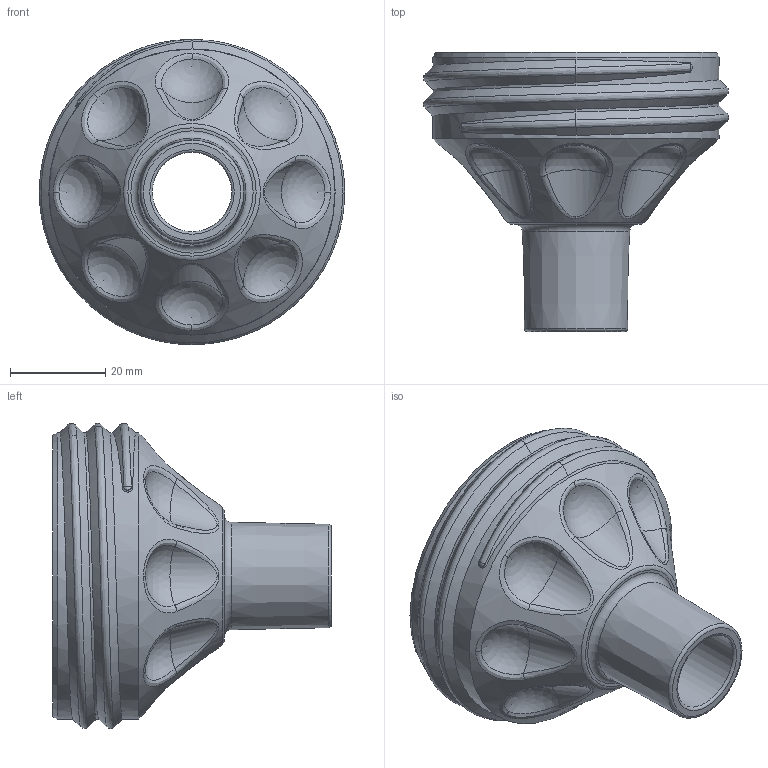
import cadquery as cq
import math


length = 58.5
body_radius = 30.0
back_chamfer_radial = 0.5
back_chamfer_axial = 1.0
collar_length = 18.05

cone_end = 36.0
cone_end_radius = 14.0
cone_edge_fillet = 1.25

spout_root_radius = 11.3
spout_end_radius = 10.83
spout_root_fillet = 1.55
spout_rim_fillet = 0.65
bore_diameter = 16.62
bore_rim_fillet = 0.55

dimple_count = 8
dimple_radius = 8.0
dimple_center_radial = 26.25
dimple_center_axial = 27.3
dimple_lean = 19.5
dimple_bar_length = 12.0
dimple_edge_fillet = 1.25

thread_crest_radius = 32.0
thread_pitch = 5.5
thread_turns = 2
thread_start = 3.95
thread_crest_rounding = 1.13
thread_flank_angle = 45.0
thread_embed = 0.5
runout_angle = 52.0
runout_drop = 1.4

match_tolerance = 0.01


def make_body():
    """Solid of revolution: chamfered collar, cone and tapered spout with a through bore."""
    profile = (
        cq.Workplane("XZ")
        .lineTo(body_radius - back_chamfer_radial, 0)
        .lineTo(body_radius, back_chamfer_axial)
        .lineTo(body_radius, collar_length)
        .lineTo(cone_end_radius, cone_end)
        .lineTo(spout_root_radius, cone_end)
        .lineTo(spout_end_radius, length)
        .lineTo(0, length)
        .close()
    )
    body = profile.revolve(360, (0, 0, 0), (0, 1, 0))
    body = body.cut(cq.Workplane("XY").circle(bore_diameter / 2).extrude(length))
    body = fillet_circle(body, cone_end_radius, cone_end, cone_edge_fillet)
    body = fillet_circle(body, spout_root_radius, cone_end, spout_root_fillet)
    body = fillet_circle(body, spout_end_radius, length, spout_rim_fillet)
    return fillet_circle(body, bore_diameter / 2, length, bore_rim_fillet)


def fillet_circle(body, radius, height, fillet):
    """Round the circular edge that has the given radius and height."""
    def is_wanted(edge):
        return (
            edge.geomType() == "CIRCLE"
            and abs(edge.radius() - radius) < match_tolerance
            and abs(edge.Center().z - height) < match_tolerance
        )

    return body.newObject(list(filter(is_wanted, body.edges().vals()))).fillet(fillet)


def make_dimple():
    """Cutter for one dimple, on the +X side."""
    lean = math.radians(dimple_lean)
    center = cq.Vector(dimple_center_radial, 0, dimple_center_axial)
    direction = cq.Vector(-math.sin(lean), 0, math.cos(lean))
    bar = cq.Solid.makeCylinder(dimple_radius, dimple_bar_length, center, direction)
    ball = cq.Workplane("XY").sphere(dimple_radius).translate(center)
    return ball.union(cq.Workplane(obj=bar))


def add_dimples(body):
    """Cut the ring of dimples into the cone and round their edges."""
    dimple = make_dimple()
    for index in range(dimple_count):
        body = body.cut(dimple.rotate((0, 0, 0), (0, 0, 1), index * 360 / dimple_count))
    return body.newObject(dimple_edges(body)).fillet(dimple_edge_fillet)


def dimple_edges(body):
    """Rims of the dimples: the curved edges that lie on the cone and change height along it."""
    slope = (cone_end_radius - body_radius) / (cone_end - collar_length)

    def is_on_cone(point):
        cone_radius = body_radius + slope * (point.z - collar_length)
        return abs(math.hypot(point.x, point.y) - cone_radius) < match_tolerance

    def is_rim(edge):
        points = edge.positions((0.2, 0.5, 0.8))
        heights = [point.z for point in points]
        changes_height = max(heights) - min(heights) > match_tolerance
        return edge.geomType() != "LINE" and changes_height and all(map(is_on_cone, points))

    return list(filter(is_rim, body.edges().vals()))


def thread_section(half=False):
    """Thread section at local X, centred on the thread start height.

    The whole section is swept along a helix. Half of it is turned about its middle line for a tip.
    """
    flank = math.radians(thread_flank_angle)
    crest_center = thread_crest_radius - thread_crest_rounding
    shoulder = crest_center + thread_crest_rounding * math.cos(flank)
    shoulder_half = thread_crest_rounding * math.sin(flank)
    inner = body_radius - thread_embed
    base_half = shoulder_half + (shoulder - inner) / math.tan(flank)
    crest = (thread_crest_radius, 0)

    plane = cq.Plane(origin=(0, 0, thread_start), xDir=(1, 0, 0), normal=(0, -1, 0))
    outline = cq.Workplane(plane).moveTo(inner, base_half).lineTo(shoulder, shoulder_half)
    if half:
        arc_middle = (
            crest_center + thread_crest_rounding * math.cos(flank / 2),
            thread_crest_rounding * math.sin(flank / 2),
        )
        return outline.threePointArc(arc_middle, crest).lineTo(inner, 0).close()
    outline = outline.threePointArc(crest, (shoulder, -shoulder_half))
    return outline.lineTo(inner, -base_half).close()


def sweep_section(path):
    """Sweep the full section along a helix that starts at the thread start height."""
    return thread_section().sweep(cq.Workplane(obj=path), isFrenet=True)


def make_runout():
    """Run-out that leaves the thread start, sinks into the collar and ends in a rounded tip."""
    turns = runout_angle / 360
    rise = thread_pitch * turns
    slant_length = math.hypot(rise, runout_drop)
    cone_angle = -math.degrees(math.atan2(runout_drop, rise))
    path = cq.Wire.makeHelix(slant_length / turns, slant_length, thread_crest_radius, angle=cone_angle)
    runout = sweep_section(path.translate((0, 0, thread_start)))
    tip = (
        thread_section(half=True)
        .revolve(360, (0, 0, 0), (1, 0, 0))
        .translate((-runout_drop, 0, rise))
        .rotate((0, 0, 0), (0, 0, 1), runout_angle)
    )
    return runout.union(tip)


def add_thread(body):
    """Join the full turns of thread, and a run-out at both ends, to the collar."""
    height = thread_turns * thread_pitch
    middle = thread_start + height / 2
    path = cq.Wire.makeHelix(thread_pitch, height, thread_crest_radius)
    turns = sweep_section(path.translate((0, 0, thread_start)))
    upper_runout = make_runout().translate((0, 0, height))
    lower_runout = upper_runout.rotate((0, 0, middle), (1, 0, middle), 180)
    return body.union(upper_runout).union(lower_runout).union(turns)


part = add_thread(add_dimples(make_body()))
part_plane = cq.Plane(origin=(0, 0, 0), xDir=(0, 0, 1), normal=(0, -1, 0))
result = cq.Workplane(obj=part.solids().val().moved(cq.Location(part_plane)))